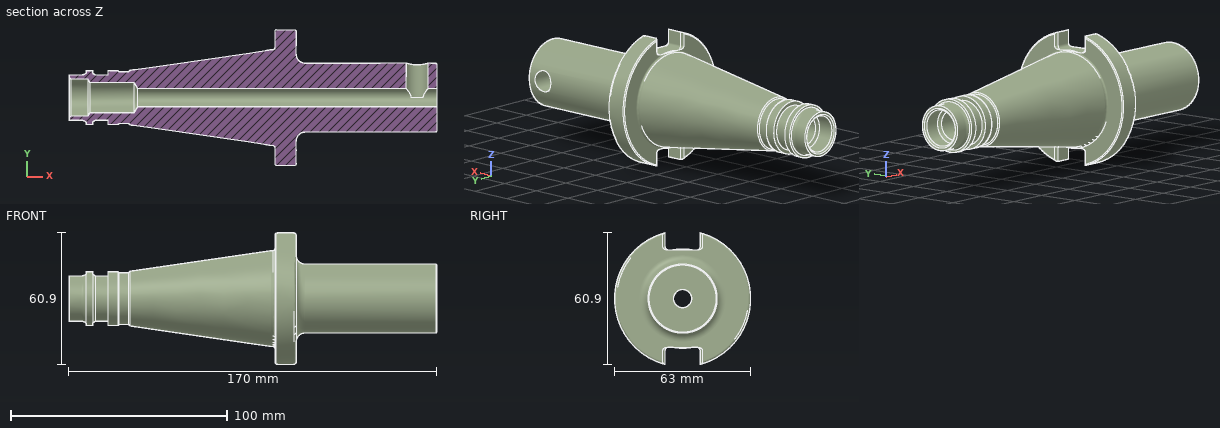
import cadquery as cq
import math

overall_length = 170.0
taper_shank_length = 93.4
gauge_to_flange = 1.6
flange_width = 10.0
nose_x = -taper_shank_length
tail_x = nose_x + overall_length
flange_front_x = gauge_to_flange
flange_back_x = flange_front_x + flange_width

gauge_radius = 44.45 / 2
taper_length = 65.4
taper_half_slope = 7 / 48
taper_small_radius = gauge_radius - taper_length * taper_half_slope

nose_radius = 21.1 / 2
collar_radius = 25.0 / 2
collar_start = 7.8
collar_end = 10.9
collar_cone_angle = 30.0
collar_front_cone_length = 0.9
collar_front_blend_radius = 2.0
collar_back_cone_length = 1.2
band_start = 17.9
band_end = 22.6
relief_radius = 24.0 / 2
relief_slope_length = 0.5
taper_start = taper_shank_length - taper_length

flange_radius = 63.0 / 2
flange_front_chamfer = 0.5
flange_root_fillet = 0.8
flange_back_fillet = 1.0
slot_width = 16.1
slot_floor_height = 22.5
slot_corner_radius = 1.6
slot_flare = 1.2

body_radius = 32.0 / 2
body_root_fillet = 4.0
body_end_chamfer = 0.5

through_radius = 8.3 / 2
mouth_chamfer = 0.8
counterbore_radius = 17.0 / 2
counterbore_depth = 8.6
thread_radius = 13.835 / 2
countersink_length = 1.0
thread_depth = 30.0
drill_tip_half_angle = 59.0

screw_hole_radius = 10.0 / 2
screw_hole_from_tail = 9.2

fillet_midpoint = 1 - math.sqrt(0.5)


def revolve_about_x(profile):
    return profile.close().revolve(360, (0, 0, 0), (1, 0, 0))


def make_body():
    collar_front_x = nose_x + collar_start
    collar_back_x = nose_x + collar_end
    band_front_x = nose_x + band_start
    band_back_x = nose_x + band_end
    taper_x = nose_x + taper_start
    cone_angle = math.radians(collar_cone_angle)
    cone_start_x = collar_front_x - collar_front_cone_length
    blend_start_x = cone_start_x - collar_front_blend_radius * math.sin(cone_angle)
    cone_start_radius = nose_radius + collar_front_blend_radius * (1 - math.cos(cone_angle))
    cone_end_radius = cone_start_radius + collar_front_cone_length * math.tan(cone_angle)
    back_cone_radius = nose_radius + collar_back_cone_length * math.tan(cone_angle)
    front_offset = flange_root_fillet * fillet_midpoint
    root_offset = body_root_fillet * fillet_midpoint
    back_offset = flange_back_fillet * fillet_midpoint
    profile = (
        cq.Workplane("XZ")
        .moveTo(nose_x, 0)
        .lineTo(nose_x, nose_radius)
        .lineTo(blend_start_x, nose_radius)
        .threePointArc(
            (
                blend_start_x + collar_front_blend_radius * math.sin(cone_angle / 2),
                nose_radius + collar_front_blend_radius * (1 - math.cos(cone_angle / 2)),
            ),
            (cone_start_x, cone_start_radius),
        )
        .lineTo(collar_front_x, cone_end_radius)
        .lineTo(collar_front_x, collar_radius)
        .lineTo(collar_back_x, collar_radius)
        .lineTo(collar_back_x, back_cone_radius)
        .lineTo(collar_back_x + collar_back_cone_length, nose_radius)
        .lineTo(band_front_x, nose_radius)
        .lineTo(band_front_x, collar_radius)
        .lineTo(band_back_x, collar_radius)
        .lineTo(band_back_x + relief_slope_length, relief_radius)
        .lineTo(taper_x - relief_slope_length, relief_radius)
        .lineTo(taper_x, taper_small_radius)
        .lineTo(0, gauge_radius)
        .lineTo(flange_front_x - flange_root_fillet, gauge_radius)
        .threePointArc(
            (flange_front_x - front_offset, gauge_radius + front_offset),
            (flange_front_x, gauge_radius + flange_root_fillet),
        )
        .lineTo(flange_front_x, flange_radius - flange_front_chamfer)
        .lineTo(flange_front_x + flange_front_chamfer, flange_radius)
        .lineTo(flange_back_x - flange_back_fillet, flange_radius)
        .threePointArc(
            (flange_back_x - back_offset, flange_radius - back_offset),
            (flange_back_x, flange_radius - flange_back_fillet),
        )
        .lineTo(flange_back_x, body_radius + body_root_fillet)
        .threePointArc(
            (flange_back_x + root_offset, body_radius + root_offset),
            (flange_back_x + body_root_fillet, body_radius),
        )
        .lineTo(tail_x - body_end_chamfer, body_radius)
        .lineTo(tail_x, body_radius - body_end_chamfer)
        .lineTo(tail_x, 0)
    )
    return revolve_about_x(profile)


def make_bore():
    counterbore_x = nose_x + counterbore_depth
    thread_x = nose_x + thread_depth
    tip_length = (thread_radius - through_radius) / math.tan(math.radians(drill_tip_half_angle))
    profile = (
        cq.Workplane("XZ")
        .moveTo(nose_x, 0)
        .lineTo(nose_x, counterbore_radius + mouth_chamfer)
        .lineTo(nose_x + mouth_chamfer, counterbore_radius)
        .lineTo(counterbore_x, counterbore_radius)
        .lineTo(counterbore_x + countersink_length, thread_radius)
        .lineTo(thread_x, thread_radius)
        .lineTo(thread_x + tip_length, through_radius)
        .lineTo(tail_x, through_radius)
        .lineTo(tail_x, 0)
    )
    return revolve_about_x(profile)


def make_drive_slot(side):
    """Slot at the top (side = 1) or bottom (side = -1) of the flange, flared at both flange faces."""
    half_width = slot_width / 2
    flare_half_width = half_width + slot_flare
    front_flare_x = flange_front_x + slot_flare
    back_flare_x = flange_back_x - slot_flare
    slot = (
        cq.Workplane("XY", origin=(0, 0, side * slot_floor_height))
        .moveTo(flange_front_x, flare_half_width)
        .lineTo(front_flare_x, half_width)
        .lineTo(back_flare_x, half_width)
        .lineTo(flange_back_x, flare_half_width)
        .lineTo(flange_back_x, -flare_half_width)
        .lineTo(back_flare_x, -half_width)
        .lineTo(front_flare_x, -half_width)
        .lineTo(flange_front_x, -flare_half_width)
        .close()
        .extrude(side * (flange_radius - slot_floor_height))
    )
    floor = "<Z" if side > 0 else ">Z"
    return slot.faces(floor).edges("not |Y").fillet(slot_corner_radius)


def make_screw_hole():
    return (
        cq.Workplane("XZ")
        .center(tail_x - screw_hole_from_tail, 0)
        .circle(screw_hole_radius)
        .extrude(-body_radius)
    )


result = make_body().cut(make_bore())
for slot_side in (1, -1):
    result = result.cut(make_drive_slot(slot_side))
result = result.cut(make_screw_hole())